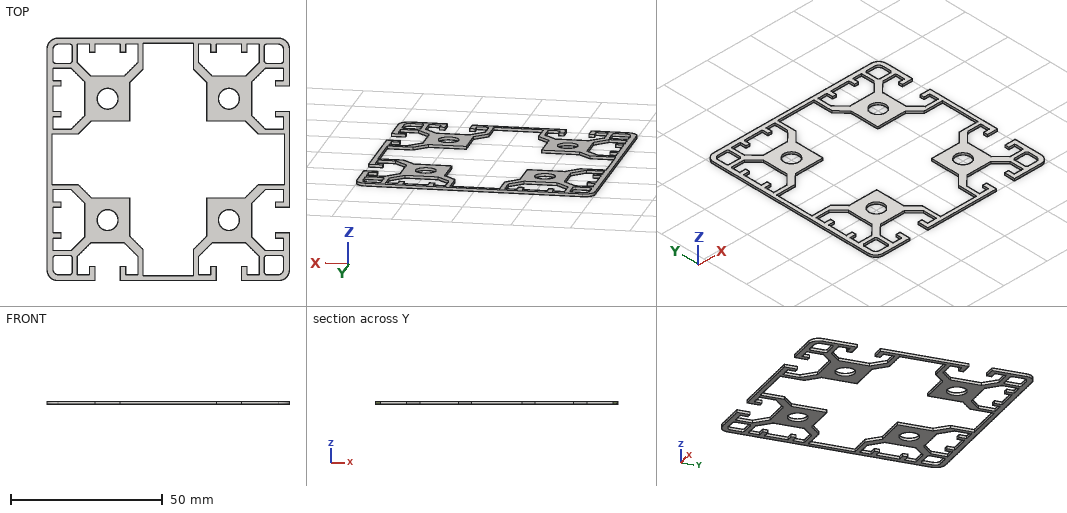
import cadquery as cq

side = 80.0
thickness = 1.0
outer_radius = 3.6

slot_wall = 2.0
middle_wall = 1.7
web = 1.7
diagonal_offset = 2.0

slot_pitch = 40.0
slot_width = 20.0
slot_depth = 12.45
neck_width = 8.3
lip_width = 1.85
lip_depth = 4.7

core_width = 14.9
core_bore = 6.8
chamber_outer_radius = 1.8
chamber_inner_radius = 0.8

half_side = side / 2
slot_offset = slot_pitch / 2
slot_half = slot_width / 2
edge_to_slot_center = half_side - slot_offset

closed_sides = (0, 1)
open_sides = (2, 3)


def prism(points):
    return cq.Workplane("XY").polyline(points).close().extrude(thickness)


def outer_plate():
    plate = cq.Workplane("XY").rect(side, side).extrude(thickness)
    return plate.edges("|Z").fillet(outer_radius)


def slot(center_x, neck_start):
    """Slot in the +Y side; its neck begins at depth neck_start below the outer face."""
    neck_half = neck_width / 2
    lip_outer = neck_half + lip_width
    shoulder_depth = edge_to_slot_center - slot_half - diagonal_offset
    floor_half = slot_half - (slot_depth - shoulder_depth)
    half_outline = [
        (neck_half, neck_start),
        (neck_half, lip_depth),
        (lip_outer, lip_depth),
        (lip_outer, slot_wall),
        (slot_half, slot_wall),
        (slot_half, shoulder_depth),
        (floor_half, slot_depth),
    ]
    right = [(center_x + x, half_side - depth) for x, depth in half_outline]
    left = [(center_x - x, half_side - depth) for x, depth in reversed(half_outline)]
    return prism(right + left)


def middle_cavity():
    """Cross-shaped cavity between the four core blocks."""
    arm_half = slot_offset - slot_half - web
    arm_end = half_side - middle_wall
    core_inner = half_side - slot_depth - core_width
    diagonal_sum = 2 * slot_offset - diagonal_offset
    lower_half = [
        (arm_end, arm_half),
        (diagonal_sum - arm_half, arm_half),
        (diagonal_sum - core_inner, core_inner),
    ]
    upper_half = [(y, x) for x, y in reversed(lower_half)]
    quadrant = lower_half + [(core_inner, core_inner)] + upper_half
    outline = []
    for _ in range(4):
        outline += quadrant
        quadrant = [(-y, x) for x, y in quadrant]
    return prism(outline)


def corner_chamber():
    """Small closed chamber in the +X +Y corner."""
    size = edge_to_slot_center - slot_half - web - slot_wall
    center = half_side - slot_wall - size / 2
    outer_corner = cq.selectors.NearestToPointSelector((half_side, half_side, thickness / 2))
    chamber = cq.Workplane("XY").center(center, center).rect(size, size).extrude(thickness)
    inner_corners = cq.selectors.StringSyntaxSelector("|Z") - outer_corner
    chamber = chamber.edges(inner_corners).fillet(chamber_inner_radius)
    return chamber.edges(outer_corner).fillet(chamber_outer_radius)


def core_bores():
    spots = cq.Workplane("XY").rect(slot_pitch, slot_pitch, forConstruction=True).vertices()
    return spots.circle(core_bore / 2).extrude(thickness)


def turned(shape, quarter_turns):
    return shape.rotate((0, 0, 0), (0, 0, 1), 90 * quarter_turns)


result = outer_plate().cut(middle_cavity()).cut(core_bores())
for quarter_turns in closed_sides + open_sides:
    neck_start = slot_wall if quarter_turns in closed_sides else 0.0
    for center_x in (-slot_offset, slot_offset):
        result = result.cut(turned(slot(center_x, neck_start), quarter_turns))
    result = result.cut(turned(corner_chamber(), quarter_turns))